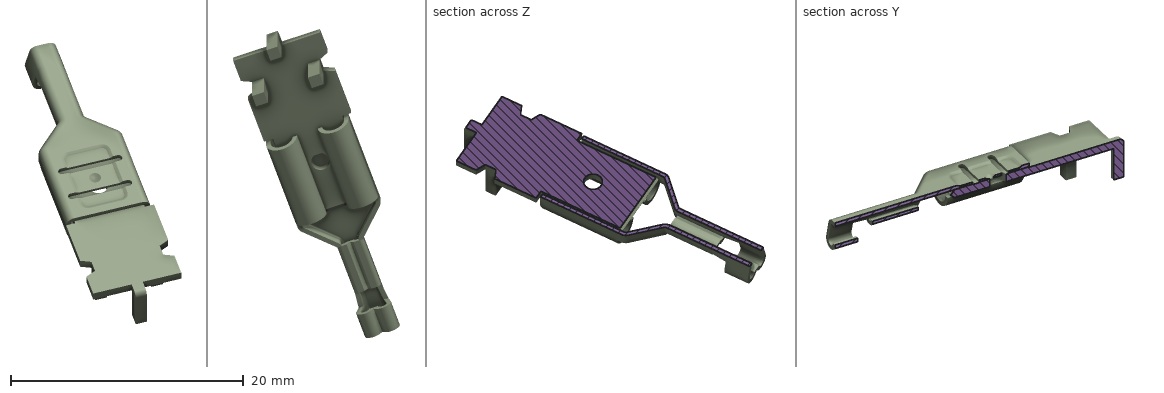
import cadquery as cq
import math


sheet = 0.4
top_bend_radius = 0.7
mid_bend = 50

crimp_end = 2.3
neck_start = 3.73
neck_end = 8.32
roll_start = 11.67
shell_end = 19.3

neck_half_width = 1.2
channel_bottom = -1.2
bend_center_y = neck_half_width - top_bend_radius
lobe_diameter = 1.58
lobe_radius = lobe_diameter / 2
lobe_center_y = 0.8
barrel_bottom = -3.05
lobe_center_z = barrel_bottom + lobe_radius
lobe_exit_angle = -135
neck_curl_radius = 0.37
neck_bottom = channel_bottom - neck_curl_radius
neck_seam_bottom = -1.25
neck_seam_top = -1.0
neck_seam_half_width = 0.4

shell_half_width = 3.75
wall_bottom = -1.63
shoulder_angle = math.radians(45)
shoulder_length = (shell_half_width - neck_half_width) / math.tan(shoulder_angle)
shoulder_radius = 0.72
throat_radius = 0.11
throat_setback = 0.05
inner_corner_radius = 0.15
roll_radius = wall_bottom - barrel_bottom
roll_center_y = shell_half_width - roll_radius
roll_shear = 0.25
roll_shear_top = -1.8

panel_x = 15.35
panel_length = 6.48
panel_width = 4.3
panel_radius = 0.72
panel_depth = 0.15
panel_slope_width = 0.3
slot_positions = (14.0, 16.9)
slot_length = 5.75
slot_width = 0.63
dimple_x = 15.4
dimple_radius = 0.52
dimple_depth = 0.2

tab_y = 0.1
tab_top = -sheet
tab_thickness = 0.8
tongue_tip = 11.47
tongue_half_width = 3.13
tongue_tip_bevel = 0.37
plate_start = 19.53
plate_end = 27.48
plate_half_width = 3.95
notch_depth = 0.9
notch_floor_start = 24.05
notch_floor_end = 25.1
notch_flare = 0.4
notch_floor_y = plate_half_width - notch_depth
leg_bottom = -4.4
leg_width = 1.05
tail_end = 28.68
tail_width = 1.0
tail_leg_length = 1.03
tail_bend_radius = 0.52
tab_hole_x = 16.18
tab_hole_diameter = 1.58


def polar(center, radius, degrees):
    """Point on a circle in the section plane."""
    angle = math.radians(degrees)
    return (center[0] + radius * math.cos(angle), center[1] + radius * math.sin(angle))


def both_sides(half):
    """Complete a half body with its mirror image across Y = 0."""
    return half.union(half.mirror("XZ"))


def barrel_wall_angle():
    """Lean of the barrel side, tangent to both the top bend and the bottom lobe, in degrees."""
    run_y = lobe_center_y - bend_center_y
    run_z = lobe_center_z + top_bend_radius
    turn = math.acos((top_bend_radius - lobe_radius) / math.hypot(run_y, run_z))
    return math.degrees(math.atan2(run_z, run_y) + turn)


def crimp_barrel():
    """Closed crimp barrel: flat top, leaning sides, and two lobes that meet in the middle."""
    lean = barrel_wall_angle()
    bend = (bend_center_y, -top_bend_radius)
    lobe = (lobe_center_y, lobe_center_z)
    inner_bend = top_bend_radius - sheet
    inner_lobe = lobe_radius - sheet
    lobe_exit = polar(lobe, lobe_radius, lobe_exit_angle)
    seam_bottom = lobe_exit[1] + lobe_exit[0]
    half = (
        cq.Workplane("YZ")
        .moveTo(0, 0)
        .lineTo(bend_center_y, 0)
        .threePointArc(polar(bend, top_bend_radius, mid_bend), polar(bend, top_bend_radius, lean))
        .lineTo(*polar(lobe, lobe_radius, lean))
        .threePointArc(polar(lobe, lobe_radius, -90), lobe_exit)
        .lineTo(0, seam_bottom)
        .lineTo(0, lobe_center_z)
        .lineTo(*polar(lobe, inner_lobe, 180))
        .threePointArc(polar(lobe, inner_lobe, -90), polar(lobe, inner_lobe, lean))
        .lineTo(*polar(bend, inner_bend, lean))
        .threePointArc(polar(bend, inner_bend, mid_bend), (bend_center_y, -sheet))
        .lineTo(0, -sheet)
        .close()
        .extrude(crimp_end)
    )
    return both_sides(half)


def half_channel(sketch, lean):
    """Add half of an open channel section whose side leans outward by the given angle."""
    bend = (bend_center_y, -top_bend_radius)
    inner_bend = top_bend_radius - sheet
    outer = polar(bend, top_bend_radius, lean)
    inner = polar(bend, inner_bend, lean)
    slope = math.tan(math.radians(lean))
    return (
        sketch.moveTo(0, 0)
        .lineTo(bend_center_y, 0)
        .threePointArc(polar(bend, top_bend_radius, mid_bend), outer)
        .lineTo(outer[0] + (outer[1] - channel_bottom) * slope, channel_bottom)
        .lineTo(inner[0] + (inner[1] - channel_bottom) * slope, channel_bottom)
        .lineTo(*inner)
        .threePointArc(polar(bend, inner_bend, mid_bend), (bend_center_y, -sheet))
        .lineTo(0, -sheet)
        .close()
    )


def transition():
    """Open channel that blends the leaning barrel sides into the upright neck sides."""
    section = half_channel(cq.Workplane("YZ").workplane(offset=crimp_end), barrel_wall_angle())
    section = half_channel(section.workplane(offset=neck_start - crimp_end), 0)
    return both_sides(section.loft(ruled=True, combine=True))


def neck():
    """Neck tube: an upright channel closed below by two curled flaps that meet in the middle."""
    length = neck_end - neck_start
    plane = cq.Workplane("YZ").workplane(offset=neck_start)
    curl_center = (neck_half_width - neck_curl_radius, channel_bottom)
    inner_y = neck_half_width - sheet
    floor = neck_bottom + sheet
    flaps = (
        plane.moveTo(neck_half_width, channel_bottom)
        .threePointArc(polar(curl_center, neck_curl_radius, -45), (curl_center[0], neck_bottom))
        .lineTo(neck_seam_bottom - neck_bottom, neck_bottom)
        .lineTo(0, neck_seam_bottom)
        .lineTo(0, neck_seam_top)
        .lineTo(neck_seam_half_width, neck_seam_top)
        .lineTo(neck_seam_half_width, floor)
        .lineTo(inner_y, floor)
        .lineTo(inner_y, channel_bottom)
        .close()
        .extrude(length)
    )
    return both_sides(half_channel(plane, 0).extrude(length).union(flaps))


def shell_block(inset, corner_radius, top):
    """Solid with the shell's outline, moved inward by an inset, with rounded top edges."""
    half_width = shell_half_width - inset
    half_neck = neck_half_width - inset
    throat_x = neck_end + throat_setback + inset * math.tan(shoulder_angle / 2)
    shoulder_x = throat_x + shoulder_length
    block = (
        cq.Workplane("XY")
        .workplane(offset=wall_bottom)
        .polyline(
            [
                (neck_end, -half_neck),
                (throat_x, -half_neck),
                (shoulder_x, -half_width),
                (shell_end, -half_width),
                (shell_end, half_width),
                (shoulder_x, half_width),
                (throat_x, half_neck),
                (neck_end, half_neck),
            ]
        )
        .close()
        .extrude(top - wall_bottom)
    )
    corners = (
        (throat_x, half_neck, throat_radius + inset),
        (shoulder_x, half_width, shoulder_radius - inset),
    )
    for x, y, radius in corners:
        for side in (-1, 1):
            nearest = cq.selectors.NearestToPointSelector((x, side * y, (top + wall_bottom) / 2))
            block = block.edges(nearest).fillet(radius)
    return block.faces(">Z").edges("not |Y").fillet(corner_radius)


def shell():
    """Flat shell with shoulders, open below and at the tab end."""
    outer = shell_block(0, top_bend_radius, 0)
    cavity = shell_block(sheet, inner_corner_radius, -sheet)
    return outer.cut(cavity)


def rolls():
    """Half-round rolled edges that hang from the shell's side walls."""
    center = (roll_center_y, wall_bottom)
    inner = roll_radius - sheet
    half = (
        cq.Workplane("YZ")
        .workplane(offset=roll_start)
        .moveTo(*polar(center, roll_radius, 0))
        .threePointArc(polar(center, roll_radius, -90), polar(center, roll_radius, 180))
        .lineTo(*polar(center, inner, 180))
        .threePointArc(polar(center, inner, -90), polar(center, inner, 0))
        .close()
        .extrude(shell_end - roll_start)
    )
    shear = (
        cq.Workplane("XZ")
        .polyline(
            [
                (shell_end, roll_shear_top),
                (shell_end, wall_bottom - roll_radius),
                (shell_end - roll_shear, wall_bottom - roll_radius),
            ]
        )
        .close()
        .extrude(shell_half_width, both=True)
    )
    return both_sides(half).cut(shear)


def panel_recess():
    """Shallow recess with rounded corners and sloping sides."""
    draft = math.degrees(math.atan2(panel_slope_width, panel_depth))
    return (
        cq.Workplane("XY")
        .center(panel_x, 0)
        .sketch()
        .rect(panel_length, panel_width)
        .vertices()
        .fillet(panel_radius)
        .finalize()
        .extrude(-panel_depth, taper=draft)
    )


def spring_slots():
    """Round-ended slots across the shell, cut through the sheet."""
    return (
        cq.Workplane("XY")
        .pushPoints([(x, 0) for x in slot_positions])
        .slot2D(slot_length, slot_width, 90)
        .extrude(-sheet)
    )


def dimple():
    """Ball that leaves a shallow dimple in the floor of the panel."""
    ball_radius = (dimple_radius**2 + dimple_depth**2) / (2 * dimple_depth)
    ball_z = ball_radius - dimple_depth - panel_depth
    return cq.Workplane("XY").sphere(ball_radius).translate((dimple_x, 0, ball_z))


def make_receptacle():
    """Folded receptacle: barrel, neck, shell and rolled edges in one piece."""
    body = shell().union(neck()).union(transition()).union(crimp_barrel()).union(rolls())
    return body.cut(panel_recess()).cut(spring_slots()).cut(dimple())


def tab_slab(start, end, half_width):
    """Flat length of the tab at full thickness."""
    slab = cq.Workplane("XY").box(end - start, 2 * half_width, tab_thickness, centered=(False, True, False))
    return slab.translate((start, tab_y, tab_top - tab_thickness))


def leg_block(start, length, width, middle_y):
    """Straight leg that reaches from the tab's top face down to the leg ends."""
    leg = cq.Workplane("XY").box(length, width, tab_top - leg_bottom, centered=(False, True, False))
    return leg.translate((start, middle_y, leg_bottom))


def tongue():
    """Tongue with a bevelled tip and a latch hole."""
    hole = (
        cq.Workplane("XY")
        .workplane(offset=tab_top)
        .center(tab_hole_x, tab_y)
        .circle(tab_hole_diameter / 2)
        .extrude(-tab_thickness)
    )
    slab = tab_slab(tongue_tip, plate_start, tongue_half_width)
    return slab.faces("<X").edges("|Y").chamfer(tongue_tip_bevel).cut(hole)


def notch(side):
    """Flared notch in one long edge of the plate."""
    edge_y = tab_y + side * plate_half_width
    floor_y = tab_y + side * notch_floor_y
    return (
        cq.Workplane("XY")
        .workplane(offset=tab_top)
        .polyline(
            [
                (notch_floor_start - notch_flare, edge_y),
                (notch_floor_start, floor_y),
                (notch_floor_end, floor_y),
                (notch_floor_end + notch_flare, edge_y),
            ]
        )
        .close()
        .extrude(-tab_thickness)
    )


def side_leg(side):
    """Leg that drops from the plate, flush with the floor of a notch."""
    middle_y = tab_y + side * (notch_floor_y - leg_width / 2)
    return leg_block(notch_floor_start, notch_floor_end - notch_floor_start, leg_width, middle_y)


def tail():
    """Middle tail that runs out of the plate and bends down into a leg."""
    arm = tab_slab(plate_end, tail_end, tail_width / 2)
    leg = leg_block(tail_end - tail_leg_length, tail_leg_length, tail_width, tab_y)
    return arm.union(leg).faces(">X").edges(">Z").fillet(tail_bend_radius)


def make_tab():
    """Flat tab: tongue, notched plate, side legs and tail in one piece."""
    plate = tab_slab(plate_start, plate_end, plate_half_width)
    for side in (-1, 1):
        plate = plate.cut(notch(side)).union(side_leg(side))
    return plate.union(tongue()).union(tail())


receptacle = make_receptacle()
tab = make_tab()
result = cq.Compound.makeCompound([receptacle.solids().val(), tab.solids().val()])